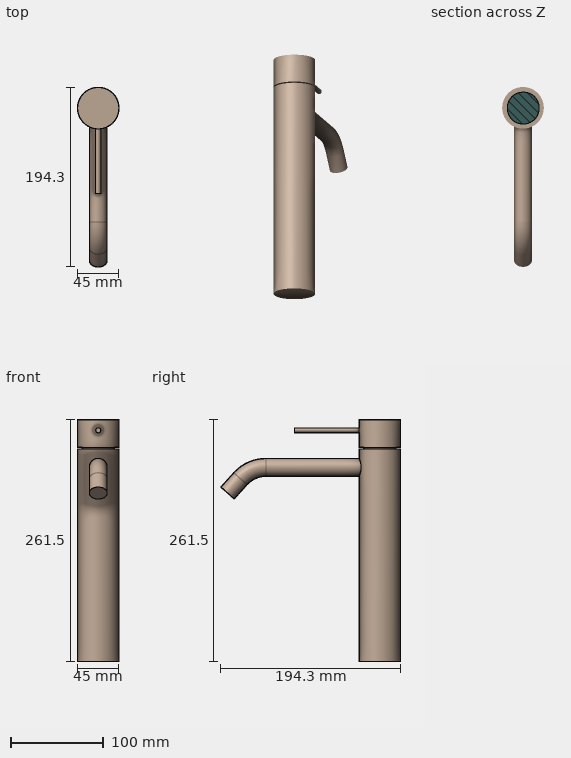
import cadquery as cq
import math

total_height = 261.5
column_diameter = 45.0
column_radius = column_diameter / 2

cap_height = 30.0
spacer_height = 1.5
spacer_diameter = 35.0
cap_bottom = total_height - cap_height
column_height = cap_bottom - spacer_height

lever_diameter = 5.5
lever_length = 70.0
lever_z = 250.0

spout_diameter = 19.4
spout_radius = spout_diameter / 2
spout_z = 210.0
bend_start = 123.0
bend_angle = 48.0
bend_radius = 37.25
overall_depth = 194.32
reach = overall_depth - column_radius

bend_sine = math.sin(math.radians(bend_angle))
bend_cosine = math.cos(math.radians(bend_angle))
tip_length = (reach - bend_start - (bend_radius + spout_radius) * bend_sine) / bend_cosine


def upright_cylinder(diameter, bottom, height):
    """Cylinder on the Z axis."""
    return cq.Workplane("XY").workplane(offset=bottom).circle(diameter / 2).extrude(height)


def make_spout(outer_wall):
    """Bent round bar that starts on the curved face of the column."""
    bend_end = (-bend_start - bend_radius * bend_sine, spout_z - bend_radius * (1 - bend_cosine))
    half_sine = math.sin(math.radians(bend_angle / 2))
    half_cosine = math.cos(math.radians(bend_angle / 2))
    bend_middle = (-bend_start - bend_radius * half_sine, spout_z - bend_radius * (1 - half_cosine))
    tip = (bend_end[0] - tip_length * bend_cosine, bend_end[1] - tip_length * bend_sine)
    path = (
        cq.Workplane("YZ")
        .moveTo(0, spout_z)
        .lineTo(-bend_start, spout_z)
        .threePointArc(bend_middle, bend_end)
        .lineTo(*tip)
    )
    bar = cq.Workplane("XZ").center(0, spout_z).circle(spout_radius).sweep(path)
    return bar.cut(outer_wall)


def make_lever(outer_wall):
    """Round pin that starts on the curved face of the cap."""
    pin = cq.Workplane("XZ").center(0, lever_z).circle(lever_diameter / 2)
    return pin.extrude(column_radius + lever_length).cut(outer_wall)


column = upright_cylinder(column_diameter, 0, column_height)
spacer = upright_cylinder(spacer_diameter, column_height, spacer_height)
cap = upright_cylinder(column_diameter, cap_bottom, cap_height)
spout = make_spout(column)
lever = make_lever(cap)

result = cq.Compound.makeCompound(
    [column.val(), spacer.val(), cap.val(), spout.val(), lever.val()]
)